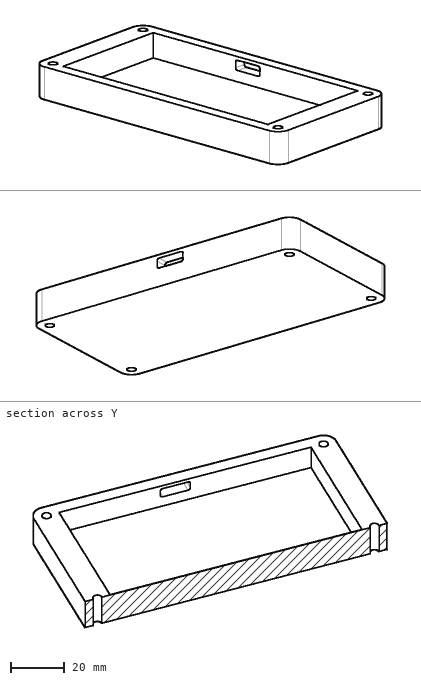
import cadquery as cq

length = 121.0
width = 61.0
height = 13.0

pocket_width = 51.0
floor_thickness = 3.0
side_wall = (width - pocket_width) / 2
end_wall = 2 * side_wall
pocket_length = length - 2 * end_wall
pocket_depth = height - floor_thickness

corner_radius = side_wall

screw_hole_diameter = 3.4

port_length = 12.0
port_height = 4.0
port_corner_radius = 1.0
port_center_x = -3.9
port_top_gap = 1.5
port_center_z = height - port_top_gap - port_height / 2


def make_body():
    """Block with rounded vertical corners, standing on Z = 0."""
    block = cq.Workplane("XY").box(length, width, height, centered=(True, True, False))
    return block.edges("|Z").fillet(corner_radius)


def make_pocket():
    """Rectangular pocket volume above the floor."""
    return (
        cq.Workplane("XY")
        .workplane(offset=floor_thickness)
        .rect(pocket_length, pocket_width)
        .extrude(pocket_depth)
    )


def make_screw_holes():
    """Four through holes on the corner centers."""
    return (
        cq.Workplane("XY")
        .rect(length - 2 * corner_radius, width - 2 * corner_radius, forConstruction=True)
        .vertices()
        .circle(screw_hole_diameter / 2)
        .extrude(height)
    )


def make_port():
    """Rounded rectangular opening spanning the thickness of the +Y wall."""
    wall_center_y = (width - side_wall) / 2
    opening = cq.Workplane("XY").box(port_length, side_wall, port_height)
    opening = opening.edges("|Y").fillet(port_corner_radius)
    return opening.translate((port_center_x, wall_center_y, port_center_z))


result = make_body().cut(make_pocket()).cut(make_screw_holes()).cut(make_port())